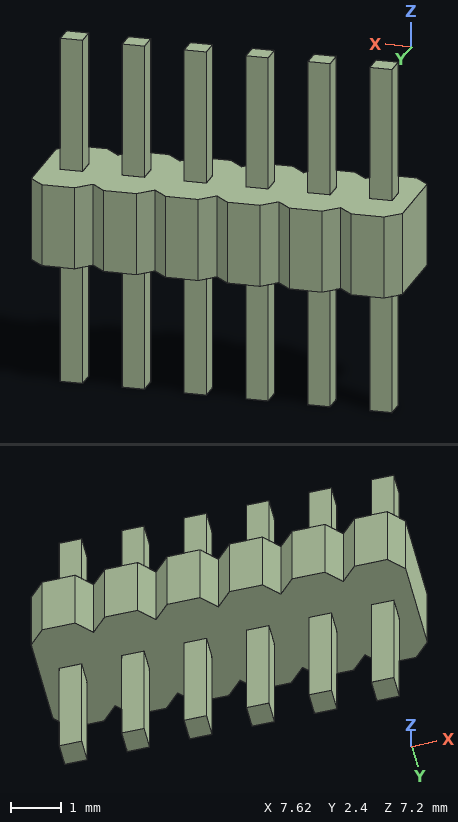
import cadquery as cq

pin_count = 6
pitch = 1.27
body_depth = 2.4
body_height = 1.7
corner_chamfer = 0.3
pin_width = 0.46
pin_length = 7.2


def housing_cell(x_center):
    """One insulator block with its four vertical edges chamfered."""
    block = cq.Workplane("XY").box(pitch, body_depth, body_height)
    return block.edges("|Z").chamfer(corner_chamfer).translate((x_center, 0, 0))


def pin(x_center):
    """One square pin passing through the middle of its block."""
    return cq.Workplane("XY").box(pin_width, pin_width, pin_length).translate((x_center, 0, 0))


first_pin_x = -(pin_count - 1) * pitch / 2
pin_positions = [first_pin_x + index * pitch for index in range(pin_count)]

result = housing_cell(pin_positions[0])
for x_center in pin_positions[1:]:
    result = result.union(housing_cell(x_center))
for x_center in pin_positions:
    result = result.union(pin(x_center))